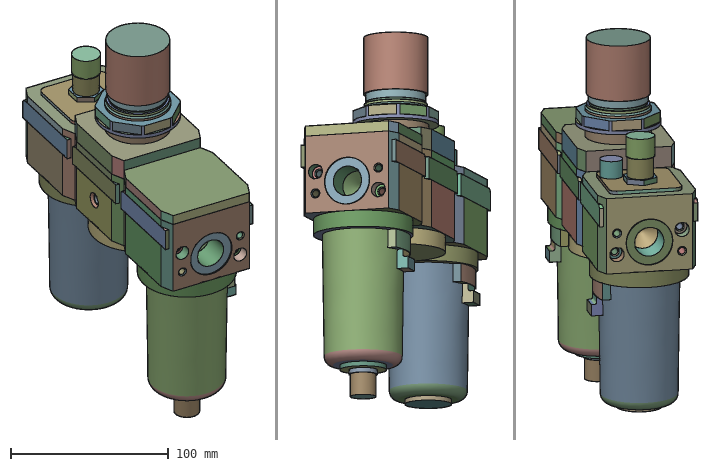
import cadquery as cq
import math


unit_width = 63.0
half_depth = 31.7
corner_length = 9.0
corner_depth = 3.9
housing_bottom = -18.2
housing_top = 31.5
collar_radius = unit_width / 2
collar_bottom = -28.5
regulator_head_top = 45.0
filter_cap_top = 38.0
cap_inset = 0.12

lubricator_x = -unit_width
filter_x = unit_width

label_length = 57.2
label_bottom = 12.4
label_top = 26.5
label_proud = 0.12
label_depth = corner_depth + label_proud
regulator_label_flare = 0.7
label_corner = 2.0

port_z = 1.2
port_radius = 9.5
port_depth = 19.4
port_seat_radius = 15.0
port_seat_depth = 1.0
screw_y = 21.0
screw_z = 7.0
screw_radius = 2.2
screw_mouth_radius = 3.0
screw_mouth_depth = 0.7
screw_depth = 12.0
screw_bore_radius = 4.5
screw_bore_depth = 7.3

gauge_mouth_radius = 5.0
gauge_ledge_radius = 3.5
gauge_ledge_depth = 1.7
gauge_hole_radius = 2.7
gauge_hole_depth = 7.3

neck_radius = 21.0
washer_radius = 27.1
washer_bottom = 53.3
washer_top = 55.7
nut_across_flats = 50.9
nut_sides = 8
nut_top = 62.2
cone_bottom = 63.7
cone_top = 65.0
cone_top_radius = 20.0
ring_top = 66.5
groove_radius = 18.6
waist_bottom = 68.0
waist_radius = 19.1
knob_bottom = 73.1
knob_radius = 20.3
knob_top = 109.7

cover_width = 47.0
cover_corner = 4.8
cover_top = 33.7
feed_offset = 3.5
feed_x = lubricator_x - feed_offset
feed_nut_sides = 6
feed_nut_across_flats = 19.4
feed_nut_top = 37.0
feed_stem_radius = 8.5
feed_stem_top = 50.4
feed_knob_radius = 9.2
feed_knob_top = 63.7
plug_offset = 11.9
plug_x = lubricator_x + plug_offset
plug_y = 15.5
plug_radius = 7.3
plug_top = 45.0

bowl_top_radius = 26.0
bowl_base_radius = 24.7
bowl_bottom = -112.5
bowl_edge_radius = 5.8
foot_radius = 14.8
foot_bottom = -115.3
guard_width = 28.5
guard_middle_y = 29.3
guard_side_y = 27.0
guard_bottom = -40.2
latch_width = 12.4
latch_neck_y = 28.8
latch_overhang = 0.6
latch_tip_y = half_depth + latch_overhang
latch_step_z = -45.0
latch_bottom = -52.5
latch_fillet = 1.5
drain_flange_radius = 9.0
drain_flange_bottom = -118.2
drain_radius = 8.2
drain_bottom = -132.5


def cylinder(x, y, radius, bottom, top):
    """Upright cylinder between two heights."""
    return cq.Workplane("XY", origin=(x, y, bottom)).circle(radius).extrude(top - bottom)


def prism(x, sides, across_flats, bottom, top):
    """Regular prism around a vertical axis, with a corner on +X."""
    across_corners = across_flats / math.cos(math.pi / sides)
    return cq.Workplane("XY", origin=(x, 0, bottom)).polygon(sides, across_corners).extrude(top - bottom)


def label(x, side, flare):
    """Label plate on the front (side = -1) or back (side = 1), bridging the cut corners."""
    face_half = label_length / 2 - flare
    back_half = label_length / 2
    front_y = half_depth + label_proud
    back_y = front_y - label_depth
    plate = (
        cq.Workplane("XY", origin=(x, 0, label_bottom))
        .polyline([
            (-face_half, side * front_y),
            (face_half, side * front_y),
            (back_half, side * back_y),
            (-back_half, side * back_y),
        ])
        .close()
        .extrude(label_top - label_bottom)
    )
    top_left_edge = cq.selectors.NearestToPointSelector((x - back_half, side * half_depth, label_top))
    return plate.edges(top_left_edge).chamfer(label_corner)


def block_outline(x, bottom):
    """Rectangle with its four corners cut at a shallow angle."""
    half_width = unit_width / 2
    side_y = half_depth - corner_depth
    face_x = half_width - corner_length
    points = [
        (-half_width, -side_y),
        (-face_x, -half_depth),
        (face_x, -half_depth),
        (half_width, -side_y),
        (half_width, side_y),
        (face_x, half_depth),
        (-face_x, half_depth),
        (-half_width, side_y),
    ]
    return cq.Workplane("XY", origin=(x, 0, bottom)).polyline(points).close()


def housing(x, label_flare=0):
    """Block with cut corners, a round collar below and a label on the front and back."""
    block = block_outline(x, housing_bottom).extrude(housing_top - housing_bottom)
    block = block.union(cylinder(x, 0, collar_radius, collar_bottom, housing_bottom))
    for side in (-1, 1):
        block = block.union(label(x, side, label_flare))
    return block


def cap(x, top):
    """Raised top of a housing, set in slightly all round."""
    return block_outline(x, housing_top).offset2D(-cap_inset).extrude(top - housing_top)


def turned(points):
    """Solid of revolution about +Z from (radius, height) points."""
    return cq.Workplane("XZ").polyline(points).close().revolve(360, (0, 0, 0), (0, 1, 0))


def blind_hole(radius, depth):
    """Cutter along +Z from the origin, ending in a 90 degree point."""
    return turned([(0, 0), (radius, 0), (radius, depth), (0, depth + radius)])


def spot_face(radius, depth):
    """Flat-bottomed cutter along +Z from the origin."""
    return cylinder(0, 0, radius, 0, depth)


def screw_cutter():
    """Screw hole along +Z from the origin, countersunk at its mouth."""
    return turned([
        (0, 0),
        (screw_mouth_radius, 0),
        (screw_radius, screw_mouth_depth),
        (screw_radius, screw_depth),
        (0, screw_depth + screw_radius),
    ])


def port_cutter():
    """Port and its four screw holes, cut inward along +X from the plane X = 0."""
    cutter = blind_hole(port_radius, port_depth).union(spot_face(port_seat_radius, port_seat_depth))
    for y_side in (-1, 1):
        for z_side in (-1, 1):
            x = -z_side * screw_z
            y = y_side * screw_y
            if y_side == z_side:
                screw = screw_cutter()
            else:
                screw = screw_cutter().translate((0, 0, screw_bore_depth))
                screw = screw.union(spot_face(screw_bore_radius, screw_bore_depth))
            cutter = cutter.union(screw.translate((x, y, 0)))
    return cutter.rotate((0, 0, 0), (0, 1, 0), 90).translate((0, 0, port_z))


def make_lubricator():
    """Housing with a cover plate, filler plug and feed knob on top, and the port on its -X side."""
    body = housing(lubricator_x)
    cover = (
        cq.Workplane("XY", origin=(lubricator_x, 0, housing_top))
        .rect(cover_width, cover_width)
        .extrude(cover_top - housing_top)
        .edges("|Z")
        .fillet(cover_corner)
    )
    body = body.union(cover)
    body = body.union(cylinder(plug_x, plug_y, plug_radius, housing_top, plug_top))
    body = body.union(prism(feed_x, feed_nut_sides, feed_nut_across_flats, cover_top, feed_nut_top))
    body = body.union(cylinder(feed_x, 0, feed_stem_radius, feed_nut_top, feed_stem_top))
    body = body.union(cylinder(feed_x, 0, feed_knob_radius, feed_stem_top, feed_knob_top))
    return body.cut(port_cutter().translate((lubricator_x - unit_width / 2, 0, 0)))


def make_regulator():
    """Housing with a tall cap, neck, panel nut and knob, and a gauge port in its front."""
    body = housing(0, regulator_label_flare).union(cap(0, regulator_head_top))
    spindle = turned([
        (0, regulator_head_top),
        (neck_radius, regulator_head_top),
        (neck_radius, cone_bottom),
        (cone_top_radius, cone_top),
        (cone_top_radius, ring_top),
        (groove_radius, ring_top),
        (groove_radius, waist_bottom),
        (waist_radius, waist_bottom),
        (waist_radius, knob_bottom),
        (knob_radius, knob_bottom),
        (knob_radius, knob_top),
        (0, knob_top),
    ])
    nut = prism(0, nut_sides, nut_across_flats, washer_top, nut_top)
    nut = nut.rotate((0, 0, 0), (0, 0, 1), 180 / nut_sides)
    nut = nut.intersect(cylinder(0, 0, washer_radius, washer_top, nut_top))
    washer = cylinder(0, 0, washer_radius, washer_bottom, washer_top)
    body = body.union(spindle).union(washer).union(nut)
    gauge = turned([
        (0, 0),
        (gauge_mouth_radius, 0),
        (gauge_ledge_radius, gauge_ledge_depth),
        (gauge_hole_radius, gauge_ledge_depth),
        (gauge_hole_radius, gauge_hole_depth),
        (0, gauge_hole_depth),
    ])
    gauge = gauge.rotate((0, 0, 0), (1, 0, 0), -90)
    return body.cut(gauge.translate((0, -half_depth, 0)))


def make_filter():
    """Housing with a low plain cap, and the port on its +X side."""
    body = housing(filter_x).union(cap(filter_x, filter_cap_top))
    port = port_cutter().mirror("YZ")
    return body.cut(port.translate((filter_x + unit_width / 2, 0, 0)))


def make_latch():
    """Guard under the collar and the latch below it, on the back of a bowl centred on X = 0."""
    guard = (
        cq.Workplane("XY", origin=(0, 0, guard_bottom))
        .moveTo(-guard_width / 2, 0)
        .lineTo(-guard_width / 2, guard_side_y)
        .threePointArc((0, guard_middle_y), (guard_width / 2, guard_side_y))
        .lineTo(guard_width / 2, 0)
        .close()
        .extrude(collar_bottom - guard_bottom)
    )
    latch = (
        cq.Workplane("YZ", origin=(-latch_width / 2, 0, 0))
        .moveTo(0, guard_bottom)
        .lineTo(latch_neck_y, guard_bottom)
        .lineTo(latch_neck_y, latch_step_z + latch_fillet)
        .radiusArc((latch_neck_y + latch_fillet, latch_step_z), -latch_fillet)
        .lineTo(latch_tip_y, latch_step_z)
        .lineTo(latch_tip_y, latch_bottom)
        .lineTo(0, latch_bottom)
        .close()
        .extrude(latch_width)
    )
    return guard.union(latch)


def make_bowl(x, has_drain):
    """Tapered bowl under a housing; the filter's bowl also carries a drain."""
    bowl = turned([
        (0, collar_bottom),
        (bowl_top_radius, collar_bottom),
        (bowl_base_radius, bowl_bottom),
        (0, bowl_bottom),
    ])
    bowl = bowl.edges("<Z").fillet(bowl_edge_radius)
    bowl = bowl.union(cylinder(0, 0, foot_radius, foot_bottom, bowl_bottom))
    bowl = bowl.union(make_latch())
    if has_drain:
        bowl = bowl.union(cylinder(0, 0, drain_flange_radius, drain_flange_bottom, foot_bottom))
        bowl = bowl.union(cylinder(0, 0, drain_radius, drain_bottom, drain_flange_bottom))
    return bowl.translate((x, 0, 0))


lubricator = make_lubricator()
regulator = make_regulator()
filter_housing = make_filter()
bowls = [make_bowl(x, has_drain) for x, has_drain in ((lubricator_x, False), (filter_x, True))]

result = cq.Compound.makeCompound([
    lubricator.val(),
    regulator.val(),
    filter_housing.val(),
    *[bowl.val() for bowl in bowls],
])